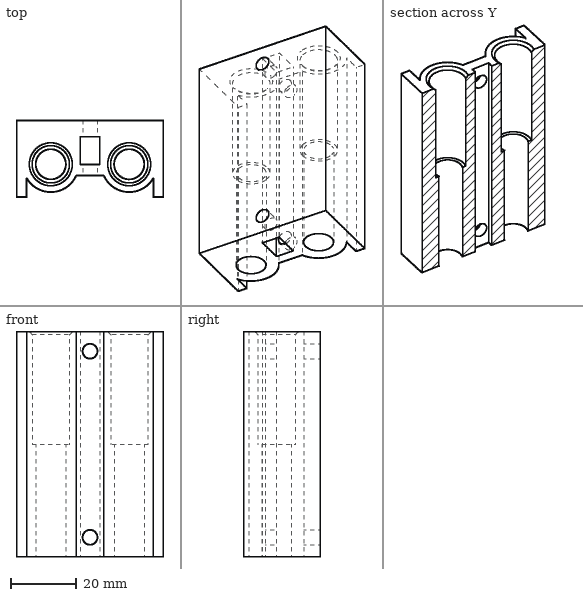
import cadquery as cq

width = 45.0
depth = 23.5
height = 69.0
back_y = depth / 2
front_y = -depth / 2

side_wall = 3.1
web_thickness = 16.9
web_front_y = back_y - web_thickness

tube_spacing = 24.0
tube_axis_depth = 13.45
tube_axis_y = back_y - tube_axis_depth
tube_diameter = 17.1
bore_diameter = 9.2
seat_diameter = 11.45
seat_depth = height / 2
mouth_diameter = 13.2
mouth_chamfer = (mouth_diameter - seat_diameter) / 2

passage_width = 5.9
passage_depth = 8.4
passage_y = tube_axis_y + passage_depth / 2

mount_diameter = 4.5
mount_edge_distance = 6.0
mount_spacing = height - 2 * mount_edge_distance

tube_centers = [(-tube_spacing / 2, tube_axis_y), (tube_spacing / 2, tube_axis_y)]


def make_body():
    """Block with its front channel cleared, then the two tubes added back."""
    block = cq.Workplane("XY").box(width, depth, height)
    channel_depth = web_front_y - front_y
    channel = (
        cq.Workplane("XY")
        .box(width - 2 * side_wall, channel_depth, height)
        .translate((0, front_y + channel_depth / 2, 0))
    )
    tubes = (
        cq.Workplane("XY", origin=(0, 0, -height / 2))
        .pushPoints(tube_centers)
        .circle(tube_diameter / 2)
        .extrude(height)
    )
    return block.cut(channel).union(tubes)


def make_bore():
    """Revolved cutter: chamfered mouth, wide seat, then the narrower through bore."""
    top = height / 2
    seat_floor = top - seat_depth
    return (
        cq.Workplane("XZ")
        .moveTo(0, -top)
        .lineTo(bore_diameter / 2, -top)
        .lineTo(bore_diameter / 2, seat_floor)
        .lineTo(seat_diameter / 2, seat_floor)
        .lineTo(seat_diameter / 2, top - mouth_chamfer)
        .lineTo(mouth_diameter / 2, top)
        .lineTo(0, top)
        .close()
        .revolve(360, (0, 0, 0), (0, 1, 0))
    )


def make_passage():
    return (
        cq.Workplane("XY")
        .box(passage_width, passage_depth, height)
        .translate((0, passage_y, 0))
    )


def make_mount_holes():
    return (
        cq.Workplane("XZ", origin=(0, back_y, 0))
        .rarray(0.7, mount_spacing, 1, 2)
        .circle(mount_diameter / 2)
        .extrude(depth)
    )


result = make_body()
for x, y in tube_centers:
    result = result.cut(make_bore().translate((x, y, 0)))
result = result.cut(make_passage()).cut(make_mount_holes())